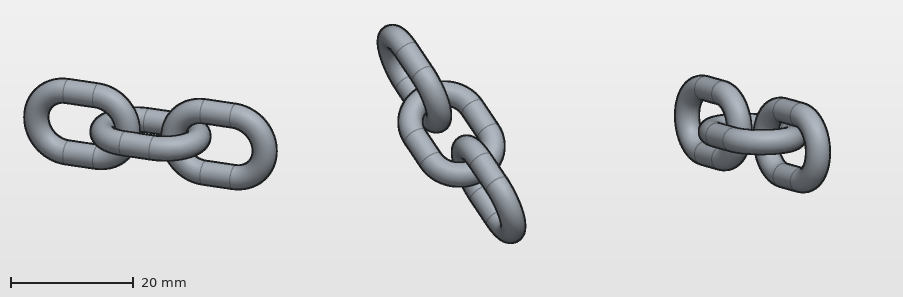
import cadquery as cq

chain_length = 44.0
link_width = 14.8
wire_diameter = 4.0
link_count = 3

link_length = (chain_length + 2 * (link_count - 1) * wire_diameter) / link_count
link_pitch = link_length - 2 * wire_diameter
straight_length = link_length - link_width
bend_radius = (link_width - wire_diameter) / 2


def make_link(center_x, roll_angle):
    """One oval link of round wire; at zero roll it lies in the XZ plane."""
    half_straight = straight_length / 2
    bend_end = half_straight + bend_radius
    center_line = (
        cq.Workplane("XZ")
        .moveTo(-half_straight, bend_radius)
        .lineTo(half_straight, bend_radius)
        .threePointArc((bend_end, 0), (half_straight, -bend_radius))
        .lineTo(-half_straight, -bend_radius)
        .threePointArc((-bend_end, 0), (-half_straight, bend_radius))
        .close()
    )
    link = (
        cq.Workplane("YZ", origin=(-half_straight, 0, bend_radius))
        .circle(wire_diameter / 2)
        .sweep(center_line)
    )
    return link.rotate((0, 0, 0), (1, 0, 0), roll_angle).translate((center_x, 0, 0))


links = []
for index in range(link_count):
    link_x = (index - (link_count - 1) / 2) * link_pitch
    quarter_turn = 90 * (index % 2)
    links.append(make_link(link_x, quarter_turn))

result = cq.Compound.makeCompound([link.val() for link in links])